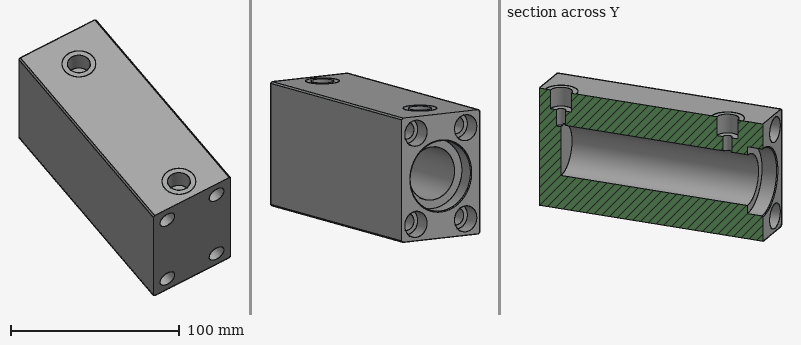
import cadquery as cq

length = 145.0
width = 55.0
height = 75.0
edge_chamfer = 1.0

bore_diameter = 32.0
mouth_diameter = 42.3
mouth_depth = 10.0
mouth_chamfer = 0.6

bolt_diameter = 10.5
bolt_head_diameter = 15.7
bolt_head_depth = 10.5
bolt_spacing_y = 35.0
bolt_spacing_z = 55.0

port_positions = (23.0, 131.0)
port_seat_diameter = 20.0
port_seat_depth = 0.1
port_diameter = 13.5
port_depth = 12.0
port_passage_diameter = 5.5
port_passage_depth = 22.5

bore_depth = port_positions[1]


def cylinder_along_x(diameter, depth, y=0.0, z=0.0):
    """Solid cylinder starting at the -X end face and running toward +X."""
    return cq.Workplane("YZ").center(y, z).circle(diameter / 2).extrude(depth)


def cylinder_down(diameter, depth, x):
    """Solid cylinder starting at the top face and running down."""
    return cq.Workplane("XY", origin=(x, 0, height / 2)).circle(diameter / 2).extrude(-depth)


def main_bore():
    """Blind bore with a wider mouth and a chamfered rim, revolved about the X axis."""
    bore_radius = bore_diameter / 2
    mouth_radius = mouth_diameter / 2
    profile = [
        (0, 0),
        (0, mouth_radius + mouth_chamfer),
        (mouth_chamfer, mouth_radius),
        (mouth_depth, mouth_radius),
        (mouth_depth, bore_radius),
        (bore_depth, bore_radius),
        (bore_depth, 0),
    ]
    return cq.Workplane("XY").polyline(profile).close().revolve(360, (0, 0), (1, 0))


def bolt_hole(y, z):
    """Through hole with a counterbore at the -X end."""
    head = cylinder_along_x(bolt_head_diameter, bolt_head_depth, y, z)
    return cylinder_along_x(bolt_diameter, length, y, z).union(head)


def port(x):
    """Port with a shallow seat and a narrow passage that breaks into the bore."""
    seat = cylinder_down(port_seat_diameter, port_seat_depth, x)
    socket = cylinder_down(port_diameter, port_depth, x)
    passage = cylinder_down(port_passage_diameter, port_passage_depth, x)
    return seat.union(socket).union(passage)


block = cq.Workplane("XY").box(length, width, height).translate((length / 2, 0, 0))
result = block.edges("|X").chamfer(edge_chamfer).cut(main_bore())

for side_y in (-1, 1):
    for side_z in (-1, 1):
        result = result.cut(bolt_hole(side_y * bolt_spacing_y / 2, side_z * bolt_spacing_z / 2))

for port_x in port_positions:
    result = result.cut(port(port_x))